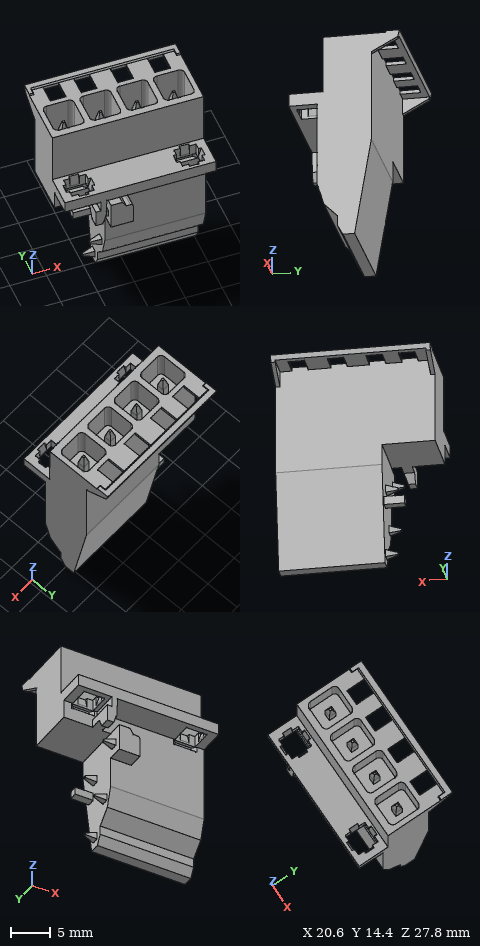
import cadquery as cq

WIDTH = 20.6
DEPTH = 14.37
HEIGHT = 27.75

DECK_Z = 27.55
BLOCK_BOTTOM_Z = 15.65
BLOCK_FRONT_Y = 4.45
BACK_Y = 10.7
LIP_ROOT_Z = 24.98
LIP_NOSE_Y = 14.12
LIP_NOSE_Z = 26.8
LIP_THICKNESS = 0.5
LIP_END_WALL = 0.58

RIM_END_TOP_Y = 12.6
RIM_END_BASE_Y = 12.5
RIM_WALL_TOP_Y = 13.55
RIM_WALL_BASE_Y = 13.35

LEDGE_TOP_Z = 20.04
LEDGE_BOTTOM_Z = 18.35

LOWER_X = 6.85
LOWER_FRONT_Y = 3.7
BACK_TAPER_Z = 12.85
FOOT_BACK_Y = 8.55
FOOT_FRONT_Y = 7.05
TOE_Y = 6.33
TOE_BOTTOM_Z = 1.3
TOE_TOP_Z = 2.65
BELLY_Y = 4.52
BELLY_Z = 4.45
FRONT_TAPER_Z = 7.25

POCKET_COUNT = 4
POCKET_PITCH = 5.0
POCKET_WIDTH = 4.15
POCKET_LENGTH = 4.55
POCKET_RADIUS = 0.65
POCKET_DEPTH = 5.0
POCKET_FLOOR_Z = DECK_Z - POCKET_DEPTH
POCKET_Y = 7.71

WINDOW_CENTERS_X = (3.22, 7.4, 12.38, 17.43)
WINDOW_WIDTH = 2.1

SOCKET_INSET = 2.8
SOCKET_Y = 2.3
SOCKET_SIZE = 3.0
LEAD_IN_WIDTH = 1.28
LEAD_IN_DEPTH = 0.4
LEAD_IN_BOTTOM_Z = 18.68
LATCH_SIZE = 3.85
LATCH_CHAMFER = 0.75
LATCH_FLOOR_Z = 17.57

HOOK_TIP_X = 4.22
HOOK_STEM_X = 4.88
HOOK_RIGHT_TOP_X = 5.72
HOOK_RIGHT_X = 5.63
HOOK_NOSE_X = 5.15
HOOK_STEP_Z = 16.82
HOOK_BOTTOM_Z = 14.37
HOOK_FOOT_Y = 1.4
HOOK_HEEL_Y = 2.05

BOSS_FRONT_Y = 1.5
BOSS_RIGHT_X = 9.88
BOSS_BOTTOM_Z = 11.75
BOSS_SHOULDER_Z = 14.85
BOSS_SLOPE_TOP_X = 8.4
BOSS_SLOPE_END_X = 8.94
BOSS_RADIUS = 0.4

PEG_SIZE = 1.15
PEG_LENGTH = 2.65
PEG_Y = 8.65
PEG_Z = 8.45

PIN_BASE = 1.0
PIN_TIP = 0.3
PIN_TAPER_LENGTH = 1.53
POCKET_PIN_TIP_Z = 26.35
SIDE_PIN_PLACES = ((2.85, 13.4), (7.6, 10.68), (5.13, 6.13), (7.6, 1.58))

POCKET_CENTERS_X = [
    WIDTH / 2 + (index - (POCKET_COUNT - 1) / 2) * POCKET_PITCH
    for index in range(POCKET_COUNT)
]


def box(x_range, y_range, z_range):
    """Axis-aligned box between pairs of limits."""
    size = [high - low for low, high in (x_range, y_range, z_range)]
    corner = (x_range[0], y_range[0], z_range[0])
    return cq.Workplane("XY").box(*size, centered=False).translate(corner)


def side_prism(points, x_start, x_end):
    """Prism along X with a (Y, Z) outline."""
    return cq.Workplane("YZ", origin=(x_start, 0, 0)).polyline(points).close().extrude(x_end - x_start)


def front_prism(points, y_start, y_end):
    """Prism along Y with an (X, Z) outline."""
    return cq.Workplane("XZ", origin=(0, y_start, 0)).polyline(points).close().extrude(y_start - y_end)


def upper_block():
    outline = [
        (LOWER_FRONT_Y, BLOCK_BOTTOM_Z),
        (LOWER_FRONT_Y, LEDGE_BOTTOM_Z),
        (0, LEDGE_BOTTOM_Z),
        (0, LEDGE_TOP_Z),
        (BLOCK_FRONT_Y, LEDGE_TOP_Z),
        (BLOCK_FRONT_Y, DECK_Z),
        (RIM_END_BASE_Y, DECK_Z),
        (RIM_END_TOP_Y, HEIGHT),
        (DEPTH, HEIGHT),
        (LIP_NOSE_Y, LIP_NOSE_Z),
        (BACK_Y, LIP_ROOT_Z),
        (BACK_Y, BLOCK_BOTTOM_Z),
    ]
    return side_prism(outline, 0, WIDTH)


def lower_body():
    outline = [
        (LOWER_FRONT_Y, BLOCK_BOTTOM_Z),
        (BACK_Y, BLOCK_BOTTOM_Z),
        (BACK_Y, BACK_TAPER_Z),
        (FOOT_BACK_Y, 0),
        (FOOT_FRONT_Y, 0),
        (TOE_Y, TOE_BOTTOM_Z),
        (TOE_Y, TOE_TOP_Z),
        (BELLY_Y, BELLY_Z),
        (LOWER_FRONT_Y, FRONT_TAPER_Z),
    ]
    return side_prism(outline, LOWER_X, WIDTH)


def rim_recess():
    """Space inside the rim, down to the deck; its back wall leans outward."""
    outline = [
        (RIM_END_BASE_Y, DECK_Z),
        (RIM_WALL_BASE_Y, DECK_Z),
        (RIM_WALL_TOP_Y, HEIGHT),
        (RIM_END_BASE_Y, HEIGHT),
    ]
    return side_prism(outline, LIP_END_WALL, WIDTH - LIP_END_WALL)


def lip_hollow():
    """Open space under the lip plate, between the end walls."""
    return box(
        (LIP_END_WALL, WIDTH - LIP_END_WALL),
        (BACK_Y, DEPTH),
        (LIP_ROOT_Z, DECK_Z - LIP_THICKNESS),
    )


def pocket(x):
    blank = box(
        (x - POCKET_WIDTH / 2, x + POCKET_WIDTH / 2),
        (POCKET_Y - POCKET_LENGTH / 2, POCKET_Y + POCKET_LENGTH / 2),
        (POCKET_FLOOR_Z, DECK_Z),
    )
    return blank.edges("|Z").fillet(POCKET_RADIUS)


def lip_window(x):
    return box(
        (x - WINDOW_WIDTH / 2, x + WINDOW_WIDTH / 2),
        (BACK_Y, RIM_WALL_BASE_Y),
        (DECK_Z - LIP_THICKNESS, DECK_Z),
    )


def latch_socket(x):
    """Square hole with a sloped lead-in on each side, over a chamfered recess in the block."""
    half = SOCKET_SIZE / 2
    hole = box((x - half, x + half), (SOCKET_Y - half, SOCKET_Y + half), (LEDGE_BOTTOM_Z, LEDGE_TOP_Z))

    lead_in_top = half + LEAD_IN_DEPTH
    flare = [
        (-half, LEAD_IN_BOTTOM_Z),
        (half, LEAD_IN_BOTTOM_Z),
        (lead_in_top, LEDGE_TOP_Z),
        (-lead_in_top, LEDGE_TOP_Z),
    ]
    lead_in_y = side_prism(flare, -LEAD_IN_WIDTH / 2, LEAD_IN_WIDTH / 2)
    lead_in_x = lead_in_y.rotate((0, 0, 0), (0, 0, 1), 90)
    lead_ins = lead_in_y.union(lead_in_x).translate((x, SOCKET_Y, 0))

    recess = (
        cq.Workplane("XY", origin=(x, SOCKET_Y, LATCH_FLOOR_Z))
        .rect(LATCH_SIZE, LATCH_SIZE)
        .extrude(LEDGE_BOTTOM_Z - LATCH_FLOOR_Z)
        .edges("|Z")
        .chamfer(LATCH_CHAMFER)
    )
    return hole.union(lead_ins).union(recess)


def hook():
    front_outline = [
        (HOOK_STEM_X, LEDGE_BOTTOM_Z),
        (HOOK_RIGHT_TOP_X, LEDGE_BOTTOM_Z),
        (HOOK_RIGHT_X, BLOCK_BOTTOM_Z),
        (HOOK_NOSE_X, HOOK_BOTTOM_Z),
        (HOOK_TIP_X, HOOK_BOTTOM_Z),
        (HOOK_TIP_X, HOOK_STEP_Z),
        (HOOK_STEM_X, HOOK_STEP_Z),
    ]
    side_outline = [
        (0, LEDGE_BOTTOM_Z),
        (LOWER_FRONT_Y, LEDGE_BOTTOM_Z),
        (LOWER_FRONT_Y, BLOCK_BOTTOM_Z),
        (HOOK_HEEL_Y, BLOCK_BOTTOM_Z),
        (HOOK_FOOT_Y, HOOK_BOTTOM_Z),
        (0, HOOK_BOTTOM_Z),
    ]
    front_shape = front_prism(front_outline, 0, LOWER_FRONT_Y)
    return front_shape.intersect(side_prism(side_outline, HOOK_TIP_X, HOOK_RIGHT_TOP_X))


def boss():
    outline = [
        (LOWER_X, BOSS_BOTTOM_Z),
        (BOSS_RIGHT_X, BOSS_BOTTOM_Z),
        (BOSS_RIGHT_X, BOSS_SHOULDER_Z),
        (BOSS_SLOPE_END_X, BOSS_SHOULDER_Z),
        (BOSS_SLOPE_TOP_X, BLOCK_BOTTOM_Z),
        (LOWER_X, BLOCK_BOTTOM_Z),
    ]
    shape = front_prism(outline, BOSS_FRONT_Y, LOWER_FRONT_Y)
    middle_y = (BOSS_FRONT_Y + LOWER_FRONT_Y) / 2
    shoulder_corner = cq.selectors.NearestToPointSelector((BOSS_RIGHT_X, middle_y, BOSS_SHOULDER_Z))
    return shape.edges(shoulder_corner).fillet(BOSS_RADIUS)


def peg():
    half = PEG_SIZE / 2
    return box(
        (LOWER_X - PEG_LENGTH, LOWER_X),
        (PEG_Y - half, PEG_Y + half),
        (PEG_Z - half, PEG_Z + half),
    )


def build_housing():
    body = upper_block().union(lower_body()).cut(rim_recess()).cut(lip_hollow())
    for x in (SOCKET_INSET, WIDTH - SOCKET_INSET):
        body = body.cut(latch_socket(x))
    body = body.union(hook()).union(boss()).union(peg())
    for x in POCKET_CENTERS_X:
        body = body.cut(pocket(x))
    for x in WINDOW_CENTERS_X:
        body = body.cut(lip_window(x))
    return body


def pin_point():
    """Square point standing on the origin and narrowing towards +Z."""
    base = cq.Workplane("XY").rect(PIN_BASE, PIN_BASE)
    return base.workplane(offset=PIN_TAPER_LENGTH).rect(PIN_TIP, PIN_TIP).loft()


def build_pocket_pin(x):
    """Pin on a pocket floor: a square shank below a tapered point."""
    shank_top_z = POCKET_PIN_TIP_Z - PIN_TAPER_LENGTH
    half = PIN_BASE / 2
    shank = box(
        (x - half, x + half),
        (POCKET_Y - half, POCKET_Y + half),
        (POCKET_FLOOR_Z, shank_top_z),
    )
    return shank.union(pin_point().translate((x, POCKET_Y, shank_top_z)))


def build_side_pin(y, z):
    """Tapered point standing out from the left face of the lower body."""
    return pin_point().rotate((0, 0, 0), (0, 1, 0), -90).translate((LOWER_X, y, z))


housing = build_housing()
pocket_pins = [build_pocket_pin(x) for x in POCKET_CENTERS_X]
side_pins = [build_side_pin(y, z) for y, z in SIDE_PIN_PLACES]

result = cq.Compound.makeCompound(
    [housing.val()]
    + [pin.val() for pin in pocket_pins]
    + [pin.val() for pin in side_pins]
)